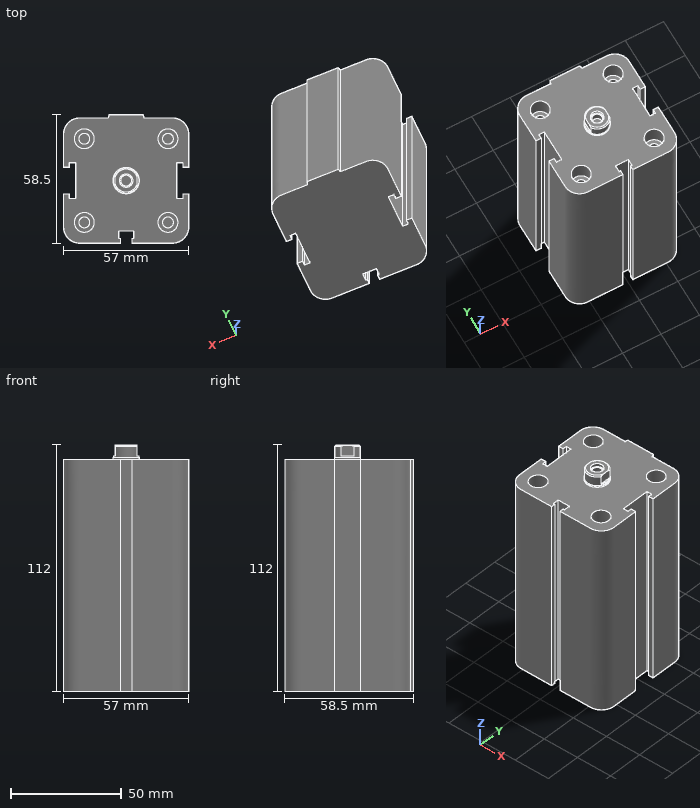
import cadquery as cq

width = 57.0
housing_height = 105.5
cap_height = 14.5
barrel_height = housing_height - 2 * cap_height
corner_radius = 7.5

key_width = 15.5
key_height = 1.5
key_side_slope = 0.4

side_mouth_width = 12.0
side_mouth_depth = 2.75
side_channel_width = 16.2
side_slot_depth = 5.5
front_mouth_width = 5.1
front_mouth_depth = 2.2
front_channel_width = 6.7
front_slot_depth = 5.5

screw_spacing = 38.0
screw_head_diameter = 9.0
screw_head_depth = 10.0
screw_core_diameter = 4.92
screw_core_depth = cap_height

rod_diameter = 12.0
rod_length = 6.5
rod_collar_height = 0.8
rod_tip_diameter = 11.7
rod_tip_chamfer = 0.6
wrench_flat_distance = 10.0
wrench_flat_start = 1.6
thread_core_diameter = 4.92
thread_core_depth = 6.0
thread_relief_diameter = 6.1
thread_relief_depth = 1.8


def t_slot(mouth_width, mouth_depth, channel_width, slot_depth, height):
    """T-slot cutter that opens on the -Y face of the housing."""
    surface = -width / 2
    mouth = cq.Workplane("XY").box(mouth_width, 2 * slot_depth, height, centered=(True, True, False))
    channel = cq.Workplane("XY").box(
        channel_width, slot_depth - mouth_depth, height, centered=(True, False, False)
    )
    return mouth.translate((0, surface, 0)).union(channel.translate((0, surface + mouth_depth, 0)))


def key(height):
    """Raised key on the +Y face with slightly sloped sides."""
    surface = width / 2
    half_crest = key_width / 2
    half_root = half_crest + key_side_slope
    crest = surface + key_height
    outline = [
        (-half_root, 0),
        (-half_root, surface),
        (-half_crest, crest),
        (half_crest, crest),
        (half_root, surface),
        (half_root, 0),
    ]
    return cq.Workplane("XY").polyline(outline).close().extrude(height)


def housing_section(bottom, height):
    """One length of the housing profile, starting at the given height."""
    section = cq.Workplane("XY").box(width, width, height, centered=(True, True, False))
    section = section.edges("|Z").fillet(corner_radius).union(key(height))
    section = section.cut(
        t_slot(front_mouth_width, front_mouth_depth, front_channel_width, front_slot_depth, height)
    )
    side_slot = t_slot(side_mouth_width, side_mouth_depth, side_channel_width, side_slot_depth, height)
    for angle in (90, -90):
        section = section.cut(side_slot.rotate((0, 0, 0), (0, 0, 1), angle))
    return section.translate((0, 0, bottom))


def make_housing():
    """End cap, barrel and end cap in one solid, keeping the seams between them on the surface."""
    body = housing_section(0, cap_height)
    body = body.union(housing_section(cap_height, barrel_height), clean=False)
    body = body.union(housing_section(cap_height + barrel_height, cap_height), clean=False)
    screw_holes = (
        cq.Workplane("XY")
        .workplane(offset=housing_height)
        .rect(screw_spacing, screw_spacing, forConstruction=True)
        .vertices()
    )
    heads = screw_holes.circle(screw_head_diameter / 2).extrude(-screw_head_depth)
    cores = screw_holes.circle(screw_core_diameter / 2).extrude(-screw_core_depth)
    return body.cut(heads, clean=False).cut(cores, clean=False)


def make_rod():
    """Rod end with collar, chamfered tip, two wrench flats and a threaded bore."""
    collar = cq.Workplane("XY").circle(rod_diameter / 2).extrude(rod_collar_height)
    tip = (
        cq.Workplane("XY")
        .workplane(offset=rod_collar_height)
        .circle(rod_tip_diameter / 2)
        .extrude(rod_length - rod_collar_height)
        .faces(">Z")
        .chamfer(rod_tip_chamfer)
    )
    rod = collar.union(tip)
    flat = cq.Workplane("XY").box(rod_diameter, rod_diameter, rod_length, centered=(True, True, False))
    for side in (-1, 1):
        offset = side * (wrench_flat_distance + rod_diameter) / 2
        rod = rod.cut(flat.translate((offset, 0, wrench_flat_start)))
    rod = rod.faces(">Z").workplane(origin=(0, 0, rod_length)).cboreHole(
        thread_core_diameter, thread_relief_diameter, thread_relief_depth, thread_core_depth
    )
    return rod.translate((0, 0, housing_height))


housing = make_housing()
rod = make_rod()

result = cq.Compound.makeCompound([housing.val(), rod.val()])